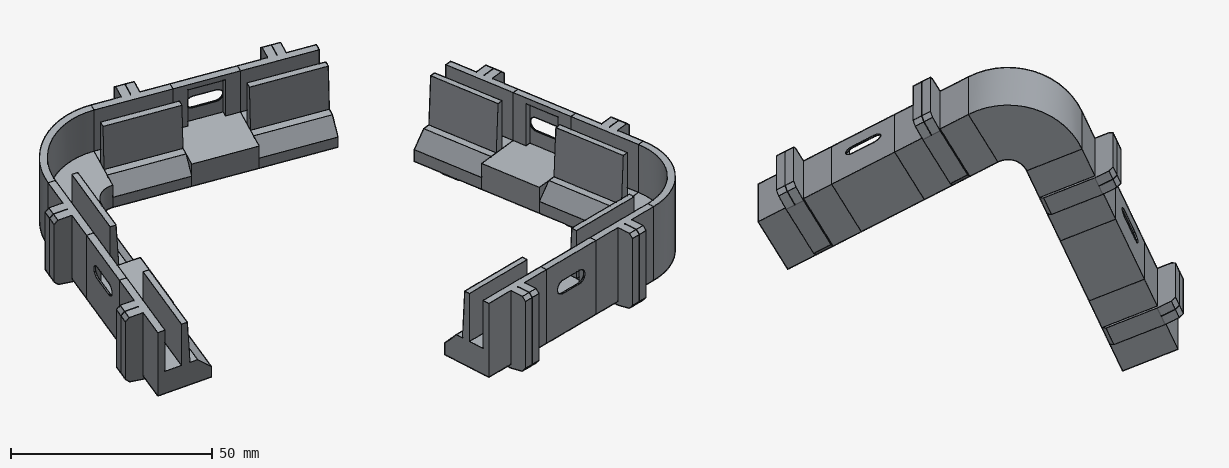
import cadquery as cq
import math


ARM_ANGLE = 84.0
INNER_RADIUS = 5.0
CHANNEL_WIDTH = 15.0
WALL_HEIGHT = 22.0
CLIP_LENGTH = 21.0
MIDDLE_LENGTH = 18.0

WALL_THICKNESS = 2.0
FLOOR_HEIGHT = 7.7

PLATE_GAP = 4.6
PLATE_THICKNESS = 1.65
PLATE_DRAFT = 3.0
BEVEL_WIDTH = 3.9
BEVEL_ANGLE = 47.0

HOOK_WIDTH = 4.95
HOOK_REACH = 4.95
HOOK_CHAMFER = 1.0
HOOK_DROP = 1.1
HOOK_FACE_BOTTOM = 1.0
HOOK_HEEL_INSET = 1.1
HOOK_HEEL_DROP = 0.35
SLIT_WIDTH = 0.1

SLOT_BOTTOM = 12.0
SLOT_LENGTH = 10.0
SLOT_HEIGHT = 4.0
SLOT_WEB = 0.4

OUTER_RADIUS = INNER_RADIUS + CHANNEL_WIDTH
WALL_INNER_RADIUS = OUTER_RADIUS - WALL_THICKNESS
OUTER_Y = -OUTER_RADIUS
INNER_Y = -INNER_RADIUS
WALL_Y = -WALL_INNER_RADIUS


def extrude_along_arm(points, start, length):
    """Extrude a (Y, Z) outline along arm one from X = start."""
    return cq.Workplane("YZ").workplane(offset=start).polyline(points).close().extrude(length)


def make_corner():
    """The bend: an L-shaped section swept around the Z axis."""
    section = [
        (INNER_RADIUS, 0),
        (OUTER_RADIUS, 0),
        (OUTER_RADIUS, WALL_HEIGHT),
        (WALL_INNER_RADIUS, WALL_HEIGHT),
        (WALL_INNER_RADIUS, FLOOR_HEIGHT),
        (INNER_RADIUS, FLOOR_HEIGHT),
    ]
    bend = cq.Workplane("XZ").polyline(section).close()
    bend = bend.revolve(180 - ARM_ANGLE, (0, 0, 0), (0, 1, 0))
    return bend.rotate((0, 0, 0), (0, 0, 1), ARM_ANGLE + 90)


def make_hook(start):
    """Hook of one clip section, centred along it and split by a thin slit."""
    face_y = OUTER_Y - HOOK_REACH
    outline = [
        (OUTER_Y, WALL_HEIGHT),
        (face_y + HOOK_CHAMFER, WALL_HEIGHT),
        (face_y, WALL_HEIGHT - HOOK_CHAMFER),
        (face_y, HOOK_FACE_BOTTOM),
        (face_y + HOOK_HEEL_INSET, -HOOK_HEEL_DROP),
        (OUTER_Y, -HOOK_DROP),
        (INNER_Y - HOOK_DROP, -HOOK_DROP),
        (INNER_Y, 0),
        (OUTER_Y, 0),
    ]
    middle = start + CLIP_LENGTH / 2
    hook = extrude_along_arm(outline, middle - HOOK_WIDTH / 2, HOOK_WIDTH)
    slit_height = WALL_HEIGHT + HOOK_DROP
    slit = cq.Workplane("XY").box(SLIT_WIDTH, HOOK_REACH, slit_height, centered=(True, False, False))
    return hook.cut(slit.translate((middle, face_y, -HOOK_DROP)))


def make_clip(start):
    """Channel section with a retaining plate, a sloped inner edge and a hook."""
    plate_front = WALL_Y + PLATE_GAP
    plate_back = plate_front + PLATE_THICKNESS
    plate_foot = plate_back + (WALL_HEIGHT - FLOOR_HEIGHT) * math.tan(math.radians(PLATE_DRAFT))
    bevel_drop = BEVEL_WIDTH * math.tan(math.radians(BEVEL_ANGLE))
    section = [
        (OUTER_Y, 0),
        (OUTER_Y, WALL_HEIGHT),
        (WALL_Y, WALL_HEIGHT),
        (WALL_Y, FLOOR_HEIGHT),
        (plate_front, FLOOR_HEIGHT),
        (plate_front, WALL_HEIGHT),
        (plate_back, WALL_HEIGHT),
        (plate_foot, FLOOR_HEIGHT),
        (INNER_Y - BEVEL_WIDTH, FLOOR_HEIGHT),
        (INNER_Y, FLOOR_HEIGHT - bevel_drop),
        (INNER_Y, 0),
    ]
    channel = extrude_along_arm(section, start, CLIP_LENGTH)
    return channel.union(make_hook(start))


def make_middle(start):
    """Plain channel section with a slot through its wall."""
    section = [
        (OUTER_Y, 0),
        (OUTER_Y, WALL_HEIGHT),
        (WALL_Y, WALL_HEIGHT),
        (WALL_Y, FLOOR_HEIGHT),
        (INNER_Y, FLOOR_HEIGHT),
        (INNER_Y, 0),
    ]
    channel = extrude_along_arm(section, start, MIDDLE_LENGTH)
    slot_x = start + MIDDLE_LENGTH / 2
    slot_z = SLOT_BOTTOM + SLOT_HEIGHT / 2
    slot = cq.Workplane("XZ", origin=(slot_x, WALL_Y, slot_z))
    slot = slot.slot2D(SLOT_LENGTH, SLOT_HEIGHT).extrude(WALL_THICKNESS)
    recess_height = 2 * (slot_z - FLOOR_HEIGHT)
    recess = cq.Workplane("XZ", origin=(slot_x, WALL_Y, slot_z))
    recess = recess.rect(SLOT_LENGTH, recess_height).extrude(WALL_THICKNESS - SLOT_WEB)
    return channel.cut(slot).cut(recess)


def to_second_arm(section):
    """Mirrored copy of an arm-one section, turned onto arm two."""
    return section.mirror("XZ").rotate((0, 0, 0), (0, 0, 1), ARM_ANGLE)


corner = make_corner()

clips = []
for clip_start in (0, CLIP_LENGTH + MIDDLE_LENGTH):
    clip = make_clip(clip_start)
    clips += [clip, to_second_arm(clip)]

middle_section = make_middle(CLIP_LENGTH)
middles = [middle_section, to_second_arm(middle_section)]

result = cq.Compound.makeCompound([body.val() for body in [corner, *clips, *middles]])